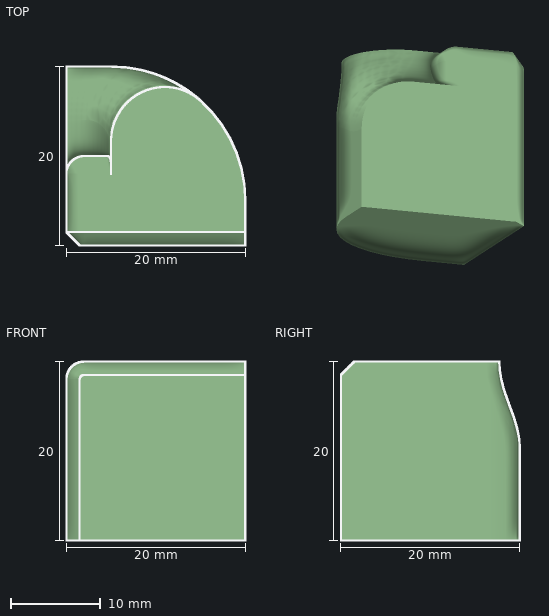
import cadquery as cq

side = 20.0
corner_radius = 15.0
groove_radius = 5.0
mouth_radius = 6.0
nose_end = 10.0
edge_radius = 2.0
front_chamfer = 1.5

groove_start = nose_end - edge_radius
selection_margin = 0.5


def make_groove():
    """Round bar along Y, centred on the upper -X edge, that hollows out the groove."""
    return (
        cq.Workplane("XZ", origin=(0, groove_start, side))
        .circle(groove_radius)
        .extrude(groove_start - side)
    )


def make_grooved_block():
    """Cube with a rounded corner and a groove with a rounded mouth.

    The block is made twice as tall and the groove half-round, so that the mouth
    rounding runs smoothly through the top plane before the upper half is removed.
    """
    block = cq.Workplane("XY").box(side, side, 2 * side, centered=False)
    block = block.edges("|Z and >X and >Y").fillet(corner_radius)
    block = block.cut(make_groove())

    reach = groove_radius + selection_margin
    mouth_edge = cq.selectors.BoxSelector(
        (-selection_margin, side - selection_margin, side - reach),
        (reach, side + selection_margin, side + reach),
    )
    block = block.edges("%CIRCLE").edges(mouth_edge).fillet(mouth_radius)

    lower_half = cq.Workplane("XY").box(side, side, side, centered=False)
    return block.intersect(lower_half)


def round_raised_edge(block):
    """Round the upper -X edge in front of the groove."""
    raised_edge = cq.selectors.NearestToPointSelector((0, groove_start / 2, side))
    return block.edges(raised_edge).fillet(edge_radius)


def chamfer_front(block):
    """Chamfer the -Y face along its -X edge, its rounded corner and its top edge."""
    front_edges = block.faces("<Y").edges("not(>X or (<Z and |X))")
    return front_edges.chamfer(front_chamfer)


def make_nose():
    """Rounded end of the raised edge, standing inside the start of the groove."""
    nose = cq.Workplane("XY").box(side, nose_end, side, centered=False)
    nose = nose.edges("(<X and >Y) or (<X and >Z) or (>Y and >Z)").fillet(edge_radius)
    return nose.intersect(make_groove())


body = make_grooved_block()
body = round_raised_edge(body)
body = chamfer_front(body)
result = body.union(make_nose())